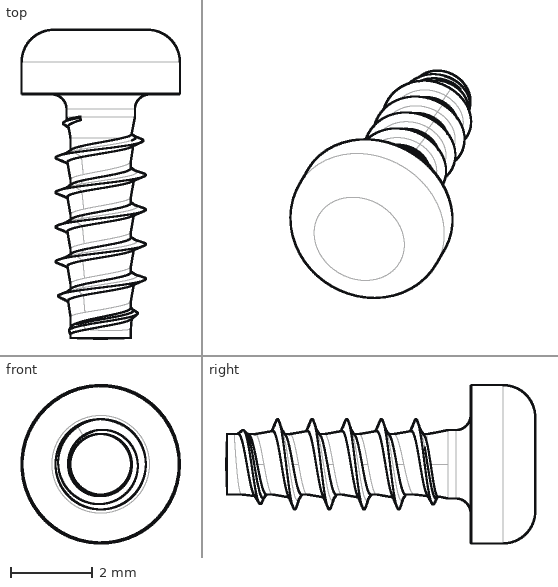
import cadquery as cq
import math

total_length = 7.6
head_diameter = 3.9
head_radius = head_diameter / 2
head_height = 1.595
head_round = 0.8
rim_chamfer = 0.03

neck_radius = 0.84
neck_fillet = 0.36
neck_end = -0.555
core_radius = 0.745
core_start = -1.065
tip_y = head_height - total_length
tip_cone_height = 0.02

pitch = 0.85
crest_radius = 1.11
crest_y_at_zero = -0.27
start_turn = 0.35
end_turn = 6.75
start_fade_turns = 0.9
end_fade_turns = 1.5
start_height_share = 0.45
root_radius = core_radius - 0.015
buried_radius = core_radius - 0.03
inner_radius = core_radius - 0.115
points_per_turn = 24

head_flank_root = 0.175
tip_flank_end = -0.63
ridge_section = [
    (head_flank_root, inner_radius),
    (head_flank_root, root_radius),
    (0.07, 0.89),
    (0, crest_radius),
    (-0.115, 0.82),
    (tip_flank_end, root_radius),
    (tip_flank_end, inner_radius),
]


def make_body():
    """Pan head, filleted neck, tapered shoulder and core as one turned solid."""
    diagonal = math.sqrt(0.5)
    top_flat_radius = head_radius - head_round
    head_side_top = head_height - head_round
    neck_flare_radius = neck_radius + neck_fillet
    return (
        cq.Workplane("XY")
        .moveTo(0, head_height)
        .lineTo(top_flat_radius, head_height)
        .threePointArc(
            (top_flat_radius + head_round * diagonal, head_side_top + head_round * diagonal),
            (head_radius, head_side_top),
        )
        .lineTo(head_radius, rim_chamfer)
        .lineTo(head_radius - rim_chamfer, 0)
        .lineTo(neck_flare_radius, 0)
        .threePointArc(
            (neck_flare_radius - neck_fillet * diagonal, -neck_fillet * (1 - diagonal)),
            (neck_radius, -neck_fillet),
        )
        .lineTo(neck_radius, neck_end)
        .lineTo(core_radius, core_start)
        .lineTo(core_radius, tip_y + tip_cone_height)
        .lineTo(0, tip_y)
        .close()
        .revolve(360, (0, 0, 0), (0, 1, 0))
    )


def height_share(turn):
    """Share of the full ridge height, fading towards both thread ends."""
    rise = start_height_share + (1 - start_height_share) * (turn - start_turn) / start_fade_turns
    fall = (end_turn - turn) / end_fade_turns
    return min(1, rise, fall)


def ridge_point(turn, offset, full_radius):
    """Point of one ridge line; the innermost lines keep a constant radius."""
    radius = full_radius
    if full_radius > inner_radius:
        radius = buried_radius + (full_radius - buried_radius) * height_share(turn)
    angle = 2 * math.pi * turn
    y = crest_y_at_zero - pitch * turn + offset
    return cq.Vector(radius * math.cos(angle), y, radius * math.sin(angle))


def make_thread():
    """Closed helical ridge, skinned turn by turn between the helical lines of its section."""
    steps = round((end_turn - start_turn) * points_per_turn)
    turns = [start_turn + (end_turn - start_turn) * i / steps for i in range(steps + 1)]
    faces = []
    for first in range(0, steps, points_per_turn):
        stretch = turns[first:first + points_per_turn + 1]
        lines = [
            cq.Edge.makeSpline([ridge_point(turn, offset, radius) for turn in stretch])
            for offset, radius in ridge_section
        ]
        for line, following in zip(lines, lines[1:] + lines[:1]):
            faces.append(cq.Face.makeRuledSurface(line, following))
    for turn in (start_turn, end_turn):
        corners = [ridge_point(turn, offset, radius) for offset, radius in ridge_section]
        outline = cq.Wire.makePolygon(corners, close=True)
        faces.append(cq.Face.makeFromWires(outline))
    solid = cq.Solid.makeSolid(cq.Shell.makeShell(faces))
    return cq.Workplane(obj=solid.fix())


def make_tip_trim():
    """Disc beyond the rim of the tip, where the ridge would overrun the core."""
    rim_y = tip_y + tip_cone_height
    return cq.Workplane("XZ", origin=(0, rim_y, 0)).circle(head_radius).extrude(2 * pitch)


thread = make_thread().cut(make_tip_trim())
result = make_body().union(thread)